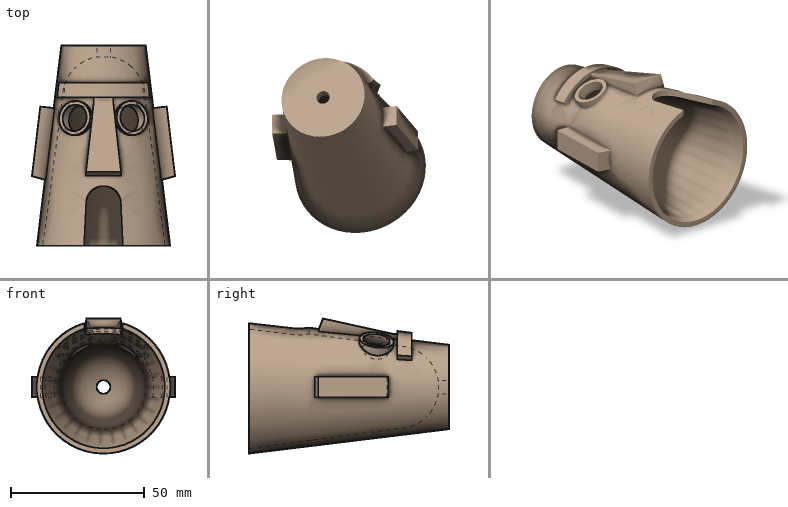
import cadquery as cq
import math

length = 75.0
base_radius = 25.0
end_radius = 15.8
wall = 2.0
dome_radius = 15.5
dome_centre_y = 55.5
end_hole_diameter = 5.0

mouth_base_half_width = 7.3
mouth_radius = 6.5
mouth_height = 22.35

brow_front_y = 55.6
brow_back_y = 61.05
brow_height = 2.8
brow_end_angle = 34.5

nose_tip_y = 27.75
nose_foot_y = 26.25
nose_bridge_y = 54.1
nose_tip_z = 25.65
nose_foot_z = 21.9
nose_bridge_z = 19.9
nose_foot_half_width = 6.7
nose_bridge_half_width = 3.6

ear_half_thickness = 3.8
ear_top_y = 52.1
ear_top_x = 23.7
ear_tip_y = 26.0
ear_span = 53.6
ear_tip_x = ear_span / 2
ear_foot_y = 24.7
ear_root_top_y = 51.6

eye_x = 10.8
eye_y = 47.85
eye_z = 17.55
eye_outer_diameter = 12.9
eye_hole_diameter = 10.0
eye_roll = 26.0
eye_tube_depth = 7.5
eye_hole_depth = 9.0

taper = (base_radius - end_radius) / length


def outer_radius(y):
    """Radius of the body's outside at a given distance along Y."""
    return base_radius - taper * y


def revolve_about_y(profile):
    return profile.close().revolve(360, (0, 0, 0), (0, 1, 0))


def make_body():
    profile = cq.Workplane("XY").lineTo(base_radius, 0).lineTo(end_radius, length).lineTo(0, length)
    return revolve_about_y(profile)


def make_cavity():
    diagonal = dome_radius * math.sqrt(0.5)
    profile = (
        cq.Workplane("XY")
        .lineTo(base_radius - wall, 0)
        .lineTo(dome_radius, dome_centre_y)
        .threePointArc((diagonal, dome_centre_y + diagonal), (0, dome_centre_y + dome_radius))
    )
    return revolve_about_y(profile)


def make_brow():
    front_radius = outer_radius(brow_front_y) + brow_height
    back_radius = outer_radius(brow_back_y) + brow_height
    band = revolve_about_y(
        cq.Workplane("XY")
        .moveTo(0, brow_front_y)
        .lineTo(front_radius, brow_front_y)
        .lineTo(back_radius, brow_back_y)
        .lineTo(0, brow_back_y)
    )
    reach_x = 2 * base_radius
    reach_z = reach_x * math.tan(math.radians(brow_end_angle))
    sector = (
        cq.Workplane("XZ")
        .polyline([(0, 0), (reach_x, reach_z), (reach_x, reach_x), (-reach_x, reach_x), (-reach_x, reach_z)])
        .close()
        .extrude(-length)
    )
    return band.intersect(sector)


def make_nose():
    side = (
        cq.Workplane("YZ")
        .polyline([
            (nose_foot_y, 0),
            (nose_foot_y, nose_foot_z),
            (nose_tip_y, nose_tip_z),
            (nose_bridge_y, nose_bridge_z),
            (brow_front_y, nose_bridge_z),
            (brow_front_y, 0),
        ])
        .close()
        .extrude(base_radius, both=True)
    )
    plan = (
        cq.Workplane("XY")
        .polyline([
            (-nose_foot_half_width, nose_foot_y),
            (nose_foot_half_width, nose_foot_y),
            (nose_bridge_half_width, nose_bridge_y),
            (nose_bridge_half_width, brow_front_y),
            (-nose_bridge_half_width, brow_front_y),
            (-nose_bridge_half_width, nose_bridge_y),
        ])
        .close()
        .extrude(2 * base_radius)
    )
    return side.intersect(plan)


def make_ears():
    right = (
        cq.Workplane("XY")
        .polyline([
            (0, ear_foot_y),
            (outer_radius(ear_foot_y), ear_foot_y),
            (ear_tip_x, ear_tip_y),
            (ear_top_x, ear_top_y),
            (outer_radius(ear_root_top_y), ear_root_top_y),
            (0, ear_root_top_y),
        ])
        .close()
        .extrude(ear_half_thickness, both=True)
    )
    return right.union(right.mirror("YZ"))


def eye_cylinders(diameter, depth):
    """Pair of cylinders running inward from the eye rims, square to the tapered wall."""
    roll = math.radians(eye_roll)
    outward = cq.Vector(math.sin(roll), taper, math.cos(roll))
    rim_centre = cq.Vector(eye_x, eye_y, eye_z)
    right = cq.Workplane(cq.Solid.makeCylinder(diameter / 2, depth, rim_centre, outward * -1))
    return right.union(right.mirror("YZ"))


def make_mouth():
    spring_y = mouth_height - mouth_radius
    return (
        cq.Workplane("XY")
        .moveTo(-mouth_base_half_width, 0)
        .lineTo(mouth_base_half_width, 0)
        .lineTo(mouth_radius, spring_y)
        .threePointArc((0, mouth_height), (-mouth_radius, spring_y))
        .close()
        .extrude(2 * base_radius)
    )


def make_end_hole():
    return cq.Workplane("XZ").circle(end_hole_diameter / 2).extrude(-length)


result = (
    make_body()
    .union(make_brow())
    .union(make_nose())
    .union(make_ears())
    .union(eye_cylinders(eye_outer_diameter, eye_tube_depth))
    .cut(make_cavity())
    .cut(eye_cylinders(eye_hole_diameter, eye_hole_depth))
    .cut(make_mouth())
    .cut(make_end_hole())
)